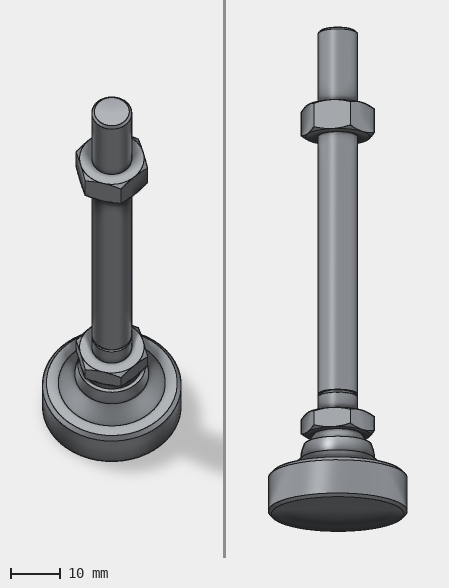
import cadquery as cq
import math


pad_radius = 14.0
pad_height = 8.3
pad_top_chamfer = 0.8
pad_bottom_chamfer = 0.6

socket_base_radius = 10.8
collar_radius = 7.4
collar_base_z = 11.4
socket_top_z = 14.4

total_height = 100.6
stud_radius = 4.0
stud_top_chamfer = 0.5
ball_radius = 6.2
ball_center_z = 12.6
groove_base_z = 24.3
groove_width = 0.6
groove_depth = 0.5

hex_across_flats = 13.0
hex_corner_diameter = hex_across_flats / math.cos(math.pi / 6)
hex_edge_angle = math.radians(30)
stud_hex_base_z = 16.5
stud_hex_height = 4.0
stud_hex_top_z = stud_hex_base_z + stud_hex_height
nut_base_z = 78.7
nut_height = 6.0


def revolve_profile(profile):
    """Turn a closed radius-height outline once around the Z axis."""
    return profile.close().revolve(360, (0, 0, 0), (0, 1, 0))


def make_chamfered_hex(base_z, height):
    """Hexagon with corners on the Y axis, its corners turned off conically at both ends."""
    flat_radius = hex_across_flats / 2
    corner_radius = hex_corner_diameter / 2
    corner_drop = (corner_radius - flat_radius) * math.tan(hex_edge_angle)
    top_z = base_z + height
    prism = (
        cq.Workplane("XY", origin=(0, 0, base_z))
        .polygon(6, hex_corner_diameter)
        .extrude(height)
        .rotate((0, 0, 0), (0, 0, 1), 90)
    )
    turned_envelope = revolve_profile(
        cq.Workplane("XZ")
        .moveTo(0, base_z)
        .lineTo(flat_radius, base_z)
        .lineTo(corner_radius, base_z + corner_drop)
        .lineTo(corner_radius, top_z - corner_drop)
        .lineTo(flat_radius, top_z)
        .lineTo(0, top_z)
    )
    return prism.intersect(turned_envelope)


def make_ball():
    """Ball of the stud, cut flat where it rests on the pad and where it meets the hexagon."""
    lower_radius = math.sqrt(ball_radius**2 - (ball_center_z - pad_height) ** 2)
    upper_radius = math.sqrt(ball_radius**2 - (stud_hex_base_z - ball_center_z) ** 2)
    return revolve_profile(
        cq.Workplane("XZ")
        .moveTo(0, pad_height)
        .lineTo(lower_radius, pad_height)
        .threePointArc((ball_radius, ball_center_z), (upper_radius, stud_hex_base_z))
        .lineTo(0, stud_hex_base_z)
    )


def make_pad():
    pad = cq.Workplane("XY").circle(pad_radius).extrude(pad_height)
    return pad.faces(">Z").chamfer(pad_top_chamfer).faces("<Z").chamfer(pad_bottom_chamfer)


def make_socket():
    """Cone and domed collar, hollowed to hold the ball."""
    def collar_radius_at(z):
        return math.sqrt(collar_radius**2 - (z - collar_base_z) ** 2)

    collar_middle_z = (collar_base_z + socket_top_z) / 2
    body = revolve_profile(
        cq.Workplane("XZ")
        .moveTo(0, pad_height)
        .lineTo(socket_base_radius, pad_height)
        .lineTo(collar_radius, collar_base_z)
        .threePointArc(
            (collar_radius_at(collar_middle_z), collar_middle_z),
            (collar_radius_at(socket_top_z), socket_top_z),
        )
        .lineTo(0, socket_top_z)
    )
    return body.cut(make_ball())


def make_stud():
    """Grooved rod with a hexagon and a ball at its lower end."""
    groove_radius = stud_radius - groove_depth
    rod = revolve_profile(
        cq.Workplane("XZ")
        .moveTo(0, stud_hex_top_z)
        .lineTo(stud_radius, stud_hex_top_z)
        .lineTo(stud_radius, groove_base_z)
        .lineTo(groove_radius, groove_base_z)
        .lineTo(groove_radius, groove_base_z + groove_width)
        .lineTo(stud_radius, groove_base_z + groove_width)
        .lineTo(stud_radius, total_height - stud_top_chamfer)
        .lineTo(stud_radius - stud_top_chamfer, total_height)
        .lineTo(0, total_height)
    )
    return rod.union(make_chamfered_hex(stud_hex_base_z, stud_hex_height)).union(make_ball())


def make_nut():
    bore = cq.Workplane("XY", origin=(0, 0, nut_base_z)).circle(stud_radius).extrude(nut_height)
    return make_chamfered_hex(nut_base_z, nut_height).cut(bore)


pad = make_pad()
socket = make_socket()
stud = make_stud()
nut = make_nut()

result = cq.Compound.makeCompound([pad.val(), socket.val(), stud.val(), nut.val()])